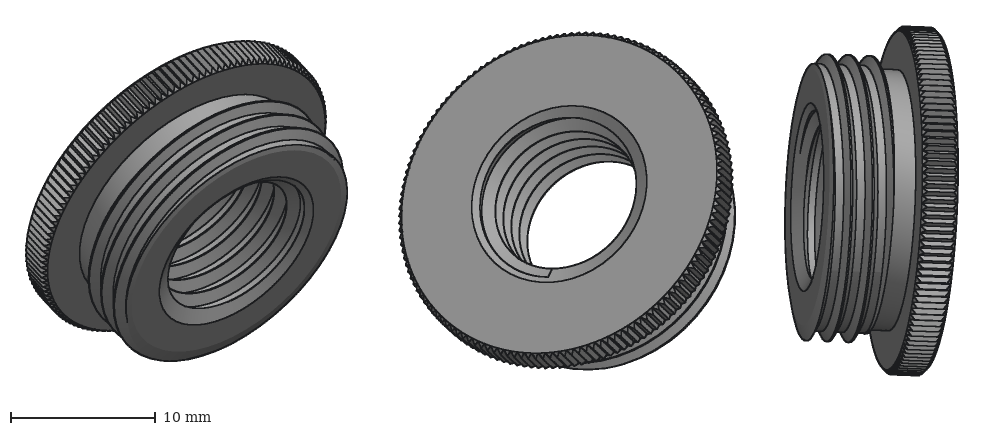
import cadquery as cq
import math


total_length = 8.5
flange_length = 2.5
tooth_count = 140
tooth_tip_radius = 12.03
tooth_root_radius = 11.7
flange_chamfer = tooth_tip_radius - tooth_root_radius

neck_radius = 18.04 / 2
neck_end = 4.15

pitch = 1.5
flank_angle = 30
flank_slope = math.tan(math.radians(flank_angle))

outer_crest_radius = 9.92
outer_root_radius = 9.24
outer_crest_width = 0.12
outer_crest_start = neck_end - pitch
end_taper_angle = 75
end_face_radius = 8.84

inner_minor_radius = 5.19
inner_major_radius = 6.0
inner_crest_width = 0.5
inner_start = 0.05
inner_start_angle = -81
countersink_radius = 6.5
countersink_slope = flank_slope

overlap = 0.1

seam_angle = -45


def helical_thread(crest_radius, base_radius, crest_width, start, height):
    """Sweep a trapezoid, with a tab beyond its base, along a right-hand helix."""
    outward = math.copysign(1, crest_radius - base_radius)
    tab_radius = base_radius - outward * overlap
    half_crest = crest_width / 2
    half_base = half_crest + abs(crest_radius - base_radius) * flank_slope
    profile = [
        (tab_radius, start - half_base),
        (base_radius, start - half_base),
        (crest_radius, start - half_crest),
        (crest_radius, start + half_crest),
        (base_radius, start + half_base),
        (tab_radius, start + half_base),
    ]
    helix = cq.Wire.makeHelix(pitch, height, base_radius).translate(cq.Vector(0, 0, start))
    return cq.Workplane("XZ").polyline(profile).close().sweep(cq.Workplane(helix), isFrenet=True)


def polar_point(radius, angle):
    """Point at an angle in radians on a circle about the axis."""
    return (radius * math.cos(angle), radius * math.sin(angle))


def knurled_flange():
    """Disc with V-shaped teeth, bevelled on both edges down to the tooth roots."""
    step = 2 * math.pi / tooth_count
    outline = []
    for index in range(tooth_count):
        outline.append(polar_point(tooth_root_radius, index * step))
        outline.append(polar_point(tooth_tip_radius, (index + 0.5) * step))
    teeth = cq.Workplane("XY").polyline(outline).close().extrude(flange_length)
    disc = cq.Workplane("XY").circle(tooth_tip_radius).extrude(flange_length)
    envelope = disc.edges("%CIRCLE").chamfer(flange_chamfer)
    return teeth.intersect(envelope)


def thread_envelope():
    """Cylinder clear of the crests, with a steep taper running down to the end face."""
    radius = outer_crest_radius + overlap
    taper_length = (radius - end_face_radius) / math.tan(math.radians(end_taper_angle))
    return (
        cq.Workplane("XZ")
        .moveTo(0, neck_end)
        .lineTo(radius, neck_end)
        .lineTo(radius, total_length - taper_length)
        .lineTo(end_face_radius, total_length)
        .lineTo(0, total_length)
        .close()
        .revolve(360, (0, 0, 0), (0, 1, 0))
    )


def threaded_end():
    """Overlong threaded rod, cut square at the neck and by the taper at the far end."""
    ridge = helical_thread(
        outer_crest_radius,
        outer_root_radius,
        outer_crest_width,
        outer_crest_start,
        total_length + pitch - outer_crest_start,
    )
    rod = cq.Workplane("XY").circle(outer_root_radius).extrude(total_length + 2 * pitch)
    rod = rod.rotate((0, 0, 0), (0, 0, 1), seam_angle)
    return rod.union(ridge).intersect(thread_envelope())


def bore():
    """Through hole at the inner thread's minor diameter, countersunk at both ends."""
    depth = (countersink_radius - inner_minor_radius) * countersink_slope
    return (
        cq.Workplane("XZ")
        .lineTo(countersink_radius, 0)
        .lineTo(inner_minor_radius, depth)
        .lineTo(inner_minor_radius, total_length - depth)
        .lineTo(countersink_radius, total_length)
        .lineTo(0, total_length)
        .close()
        .revolve(360, (0, 0, 0), (0, 1, 0))
    )


def inner_groove():
    """Thread groove that begins abruptly in the countersink and runs out through the far end."""
    groove = helical_thread(
        inner_major_radius,
        inner_minor_radius,
        inner_crest_width,
        inner_start,
        total_length + pitch - inner_start,
    )
    return groove.rotate((0, 0, 0), (0, 0, 1), inner_start_angle)


def neck():
    """Plain cylinder that runs inside the flange and out to the thread."""
    return cq.Workplane("XY").circle(neck_radius).extrude(neck_end)


threaded_hole = bore().union(inner_groove())
body = neck().union(threaded_end()).cut(threaded_hole)
body = body.union(knurled_flange().cut(threaded_hole))

result = body.rotate((0, 0, 0), (1, 1, 1), 120)